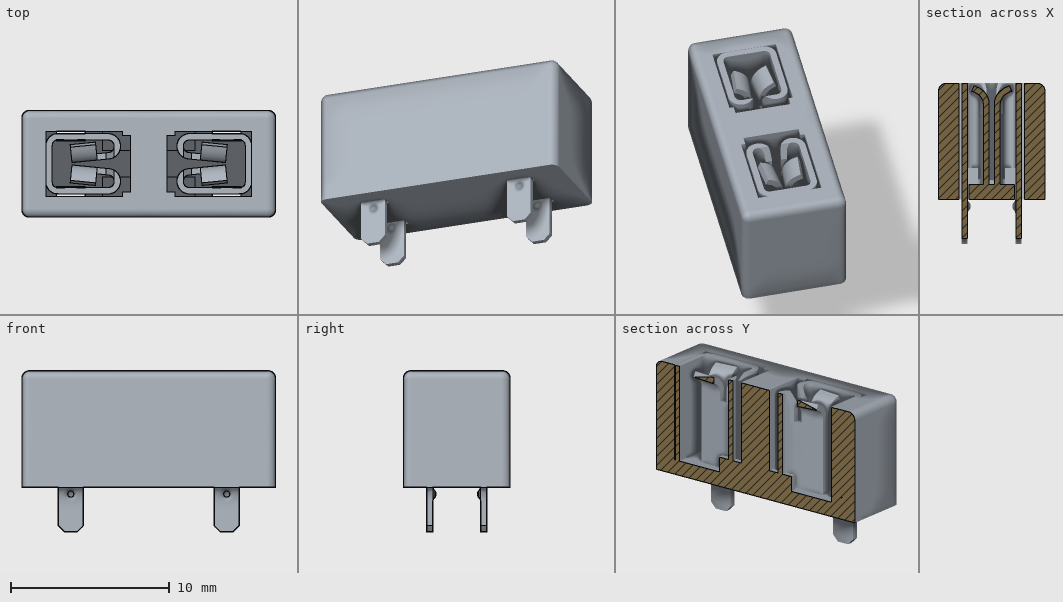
import cadquery as cq
import math

length = 16.0
width = 6.74
housing_height = 7.36
edge_radius = 0.5
floor_thickness = 1.0

pocket_back_x = -6.48
pocket_step_x = -1.66
pocket_front_x = -1.14
pocket_half_width = 2.05
pocket_front_half_width = 1.78
block_start_x = -2.91
block_inner_y = 0.85
block_height = 1.0

sheet = 0.4
spring_half_width = 1.9
spring_top = housing_height - 0.02
corner_radius = 0.75
hook_radius = 0.8
hook_x = -2.58
leg_angle = 5.7
leg_length = 0.75

ramp_run = 0.53
ramp_drop = 0.83
leg_drop = 1.92

tongue_width = 1.6
flare_angle = 66.0
flare_radius = 1.2
flare_straight = 0.29
tongue_top = housing_height - 0.15

pin_x = -4.91
pin_width = 1.6
pin_length = 2.8
pin_chamfer = 0.4
slot_width = 1.8
slot_inner_y = 1.44

dimple_drop = 0.42
dimple_radius = 0.5
dimple_tip_radius = 0.2
dimple_flare_height = 0.15
dimple_height = 0.2

flank_width = dimple_radius - dimple_tip_radius
flare_arc_radius = (flank_width**2 + dimple_flare_height**2) / (2 * dimple_flare_height)
dome_height = dimple_height - dimple_flare_height
tip_dome_radius = (dimple_tip_radius**2 + dome_height**2) / (2 * dome_height)

hook_y = spring_half_width - hook_radius
spring_height = spring_top - floor_thickness


def box(x_min, x_max, y_min, y_max, z_min, z_max):
    """Axis-aligned block between the given limits."""
    block = cq.Workplane("XY").box(x_max - x_min, y_max - y_min, z_max - z_min, centered=False)
    return block.translate((x_min, y_min, z_min))


def polar_point(center, radius, angle):
    """Point at a distance from a centre, in a direction given in degrees."""
    turn = math.radians(angle)
    return (center[0] + radius * math.cos(turn), center[1] + radius * math.sin(turn))


def with_mirror(solid, plane):
    """Solid joined with its mirror image."""
    return solid.union(solid.mirror(plane))


def make_housing():
    block = box(-length / 2, length / 2, -width / 2, width / 2, 0, housing_height)
    return block.edges("|Z or >Z").fillet(edge_radius)


def make_pocket():
    """Cavity of one socket, with two raised blocks on its floor and two pin slots through it."""
    wide = box(pocket_back_x, pocket_step_x, -pocket_half_width, pocket_half_width,
               floor_thickness, housing_height)
    narrow = box(pocket_step_x, pocket_front_x, -pocket_front_half_width, pocket_front_half_width,
                 floor_thickness, housing_height)
    block = box(block_start_x, pocket_front_x, block_inner_y, pocket_half_width,
                floor_thickness, floor_thickness + block_height)
    slot = box(pin_x - slot_width / 2, pin_x + slot_width / 2, slot_inner_y, pocket_half_width,
               0, floor_thickness)
    pocket = wide.union(narrow).cut(with_mirror(block, "XZ"))
    return pocket.union(with_mirror(slot, "XZ"))


hook_center = (hook_x, hook_y)
hook_end_angle = leg_angle - 90
hook_middle_angle = (90 + hook_end_angle) / 2
leg_heading = 180 + leg_angle
leg_start_outer = polar_point(hook_center, hook_radius, hook_end_angle)
leg_start_inner = polar_point(hook_center, hook_radius - sheet, hook_end_angle)
leg_tip_outer = polar_point(leg_start_outer, leg_length, leg_heading)
leg_tip_inner = polar_point(leg_start_inner, leg_length, leg_heading)


def make_half_strip():
    """Upright strip: half of the back wall, side wall, hook and leg."""
    corner = (pocket_back_x + corner_radius, spring_half_width - corner_radius)
    inner_corner = corner_radius - sheet
    inner_hook = hook_radius - sheet
    outline = (
        cq.Workplane("XY", origin=(0, 0, floor_thickness))
        .moveTo(pocket_back_x, 0)
        .lineTo(pocket_back_x, corner[1])
        .threePointArc(polar_point(corner, corner_radius, 135), (corner[0], spring_half_width))
        .lineTo(hook_x, spring_half_width)
        .threePointArc(polar_point(hook_center, hook_radius, hook_middle_angle), leg_start_outer)
        .lineTo(*leg_tip_outer)
        .lineTo(*leg_tip_inner)
        .lineTo(*leg_start_inner)
        .threePointArc(polar_point(hook_center, inner_hook, hook_middle_angle),
                       (hook_x, spring_half_width - sheet))
        .lineTo(corner[0], spring_half_width - sheet)
        .threePointArc(polar_point(corner, inner_corner, 135), (pocket_back_x + sheet, corner[1]))
        .lineTo(pocket_back_x + sheet, 0)
        .close()
    )
    return outline.extrude(spring_height)


def make_leg_relief():
    """Material above the leg: a steep ramp off the hook, then a step down to the level leg."""
    ramp_top_x = hook_x + hook_radius - sheet
    ramp_foot_x = ramp_top_x - ramp_run
    relief_end_x = leg_tip_outer[0] - sheet
    profile = [
        (ramp_top_x, spring_top),
        (ramp_foot_x, spring_top - ramp_drop),
        (ramp_foot_x, spring_top - leg_drop),
        (relief_end_x, spring_top - leg_drop),
        (relief_end_x, spring_top),
    ]
    return cq.Workplane("XZ").polyline(profile).close().extrude(-hook_y)


def make_tongue():
    """Tongue that rises from the leg and flares away from the mouth of the socket."""
    turn = math.radians(flare_angle)
    bend_z = tongue_top - flare_radius * math.sin(turn) - flare_straight * math.cos(turn)
    bend_center = (flare_radius, bend_z)
    front_end = polar_point(bend_center, flare_radius, 180 - flare_angle)
    back_end = polar_point(bend_center, flare_radius - sheet, 180 - flare_angle)
    middle_angle = 180 - flare_angle / 2
    straight_heading = 90 - flare_angle
    slant = math.radians(leg_angle)
    section = cq.Plane(
        origin=(*leg_tip_outer, 0),
        xDir=(-math.sin(slant), math.cos(slant), 0),
        normal=(math.cos(slant), math.sin(slant), 0),
    )
    return (
        cq.Workplane(section)
        .moveTo(0, floor_thickness)
        .lineTo(0, bend_z)
        .threePointArc(polar_point(bend_center, flare_radius, middle_angle), front_end)
        .lineTo(*polar_point(front_end, flare_straight, straight_heading))
        .lineTo(*polar_point(back_end, flare_straight, straight_heading))
        .lineTo(*back_end)
        .threePointArc(polar_point(bend_center, flare_radius - sheet, middle_angle), (sheet, bend_z))
        .lineTo(sheet, floor_thickness)
        .close()
        .extrude(-tongue_width)
    )


def make_dimple(face_y):
    """Dimple narrowing towards y = 0 from a pin face: a trumpet-shaped flank with a domed tip."""
    profile = (
        cq.Workplane("XY")
        .moveTo(0, -dimple_height)
        .radiusArc((dimple_tip_radius, -dimple_flare_height), -tip_dome_radius)
        .radiusArc((dimple_radius, 0), flare_arc_radius)
        .lineTo(0, 0)
        .close()
    )
    dimple = profile.revolve(360, (0, 0), (0, 1))
    return dimple.translate((pin_x, face_y, -dimple_drop))


def make_pin():
    """Solder pin below the side wall, with chamfered tip and a pressed dimple."""
    blade = box(pin_x - pin_width / 2, pin_x + pin_width / 2,
                spring_half_width - sheet, spring_half_width, -pin_length, floor_thickness)
    blade = blade.edges("|Y and <Z").chamfer(pin_chamfer)
    boss = make_dimple(spring_half_width - sheet)
    recess = make_dimple(spring_half_width)
    return blade.union(boss).cut(recess)


half_contact = make_half_strip().cut(make_leg_relief()).union(make_tongue()).union(make_pin())
contact = with_mirror(half_contact, "XZ")

result = (
    make_housing()
    .cut(with_mirror(make_pocket(), "YZ"))
    .union(with_mirror(contact, "YZ"))
)